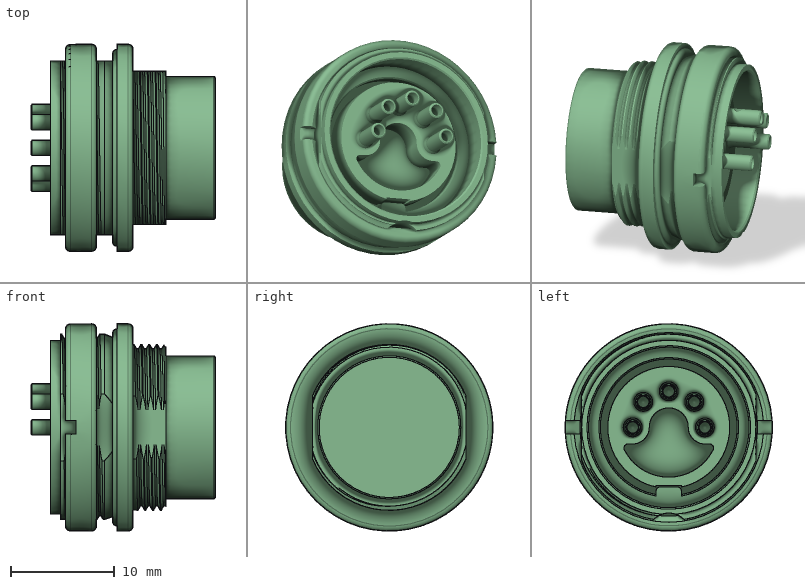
import cadquery as cq
import math


rim_start = 1.85
large_thread_start = 2.85
nut_start = 3.32
nut_end = 6.32
taper_start = 7.08
gasket_start = 7.88
flange_start = 8.3
flange_end = 9.85
small_thread_end = 13.0
sleeve_end = 17.8

outer_radius = 10.0
rim_radius = 8.4
large_thread_radius = 9.0
taper_end_radius = 8.7
large_flat = rim_radius
gasket_radius = 9.5
gasket_round = 0.4
flange_round = 0.48
small_thread_radius = 8.0
small_thread_chamfer = 0.25
small_flat = 7.4
keyway_radius = 2.0
keyway_top = -8.25
sleeve_radius = 13.8 / 2
sleeve_chamfer = 0.15

flank_angle = math.radians(30)
pitch = 3 / 4
groove_mouth = pitch * 7 / 8
groove_floor = pitch / 4
groove_depth = (groove_mouth - groove_floor) / 2 / math.tan(flank_angle)
groove_overcut = 0.05
large_groove_start = 2.92
large_groove_turns = 5.25
large_groove_angle = -90
small_groove_start = 10.08
small_groove_turns = 4.5
small_groove_angle = 0

nut_round = 0.5
nut_bore_radius = 8.55
nut_mouth_radius = 18.3 / 2
notch_width = 1.3
notch_depth = 1.0

bore_radius = 15.5 / 2
bore_chamfer = 0.15
step_x = 5.4
inner_bore_radius = 6.6
gap_floor_x = 6.8
insert_radius = 5.88
insert_face_x = 4.0
key_width = 2.45
key_top = -5.75
key_slot_top = -5.6
key_round = 0.4

pin_circle_radius = 3.48
pin_angles = [0, 45, 90, 135, 180]
pin_radius = 1.5 / 2
pin_tip_chamfer = 0.12
pin_base_radius = 1.82 / 2
pin_base_length = 0.4
pin_hole_radius = 1.1 / 2
pin_hole_depth = 2.8
pin_hole_point = 0.32
cross_hole_radius = 0.8 / 2
cross_hole_x = 2.3

recess_depth = 3.0
recess_radius = 4.8
recess_corner_radius = 0.4
recess_pin_wall = 1.6
recess_lobe_radius = pin_circle_radius - recess_pin_wall


def cylinder(start, end, radius):
    """Solid cylinder on the X axis between two stations."""
    return cq.Workplane("YZ", origin=(start, 0, 0)).circle(radius).extrude(end - start)


def revolved(points):
    """Solid turned about the X axis from (x, radius) points."""
    return cq.Workplane("XY").polyline(points).close().revolve(360, (0, 0, 0), (1, 0, 0))


def block(start, end, width, bottom, top):
    """Box between two stations, centred on Y, from a bottom level to a top level."""
    box = cq.Workplane("XY").box(end - start, width, top - bottom, centered=(False, True, False))
    return box.translate((start, 0, bottom))


def between_flats(start, end, half_width):
    """Block that trims a turned length to two side flats."""
    return block(start, end, 2 * half_width, -outer_radius, outer_radius)


def thread_groove(start, turns, start_angle, crest_radius):
    """Right-hand helical groove that starts at an angle measured from +Y towards +Z."""
    widening = groove_overcut * math.tan(flank_angle)
    root_radius = crest_radius - groove_depth
    top_radius = crest_radius + groove_overcut
    helix = cq.Wire.makeHelix(pitch, pitch * turns, crest_radius)
    profile = cq.Workplane("XZ").polyline([
        (root_radius, -groove_floor / 2),
        (top_radius, -groove_mouth / 2 - widening),
        (top_radius, groove_mouth / 2 + widening),
        (root_radius, groove_floor / 2),
    ]).close()
    groove = profile.sweep(cq.Workplane(obj=helix), isFrenet=True)
    groove = groove.rotate((0, 0, 0), (0, 1, 0), 90)
    groove = groove.rotate((0, 0, 0), (1, 0, 0), 90 + start_angle)
    return groove.translate((start, 0, 0))


def make_keyway():
    """Round-topped groove along the bottom of the rim and the large thread."""
    keyway = cylinder(rim_start, gasket_start, keyway_radius)
    return keyway.translate((0, 0, keyway_top - keyway_radius))


def make_body():
    """Turned outside of the connector: rim, both threads, gasket, flange and sleeve."""
    rim = cylinder(rim_start, large_thread_start, rim_radius)

    large = revolved([
        (large_thread_start, 0),
        (large_thread_start, large_thread_radius),
        (taper_start, large_thread_radius),
        (gasket_start, taper_end_radius),
        (gasket_start, 0),
    ])
    large = large.cut(
        thread_groove(large_groove_start, large_groove_turns, large_groove_angle, large_thread_radius))
    large = large.intersect(between_flats(large_thread_start, gasket_start, large_flat))

    gasket = cylinder(gasket_start, flange_start, gasket_radius).faces("<X").edges().fillet(gasket_round)
    flange = cylinder(flange_start, flange_end, outer_radius).faces(">X").edges().fillet(flange_round)

    blank_end = small_thread_end + 3 * pitch
    small = cylinder(flange_end, blank_end, small_thread_radius)
    small = small.cut(
        thread_groove(small_groove_start, small_groove_turns, small_groove_angle, small_thread_radius))
    envelope = cylinder(flange_end, small_thread_end, small_thread_radius)
    small = small.intersect(envelope.faces(">X").edges().chamfer(small_thread_chamfer))
    small = small.intersect(between_flats(flange_end, small_thread_end, small_flat))

    sleeve = cylinder(small_thread_end, sleeve_end, sleeve_radius)
    sleeve = sleeve.faces(">X").edges().chamfer(sleeve_chamfer)
    front = rim.union(large).cut(make_keyway())
    return front.union(gasket).union(flange).union(small).union(sleeve)


def make_nut():
    """Rounded ring nut with a conical mouth and a notch on each side."""
    nut = cylinder(nut_start, nut_end, outer_radius).edges().fillet(nut_round)
    mouth_depth = nut_mouth_radius - nut_bore_radius
    nut = nut.cut(revolved([
        (nut_start, 0),
        (nut_start, nut_mouth_radius),
        (nut_start + mouth_depth, nut_bore_radius),
        (nut_end, nut_bore_radius),
        (nut_end, 0),
    ]))
    half_notch = notch_width / 2
    notches = block(nut_start, nut_start + notch_depth, 2 * outer_radius, -half_notch, half_notch)
    return nut.cut(notches)


def make_socket():
    """Empty space inside the rim, down to the floor around the insert."""
    return revolved([
        (rim_start, 0),
        (rim_start, bore_radius + bore_chamfer),
        (rim_start + bore_chamfer, bore_radius),
        (step_x, bore_radius),
        (step_x, inner_bore_radius + bore_chamfer),
        (step_x + bore_chamfer, inner_bore_radius),
        (gap_floor_x, inner_bore_radius),
        (gap_floor_x, 0),
    ])


def make_key_slot():
    """Flat-topped slot at the bottom of the insert, which receives the key."""
    return block(insert_face_x, gap_floor_x, key_width, -insert_radius, key_slot_top)


def make_key():
    """Key that rises from the socket wall into the bottom of the insert."""
    key = block(step_x, gap_floor_x, key_width, -bore_radius, key_top)
    return key.faces(">Z").edges("|X").fillet(key_round)


def make_recess():
    """Mushroom-shaped recess: the lower part of a disc plus a lobe that clears the two side pins."""
    floor_x = insert_face_x + recess_depth
    reach = pin_circle_radius
    cap = cylinder(insert_face_x, floor_x, recess_radius)
    cap = cap.cut(block(insert_face_x, floor_x, 2 * recess_radius, -recess_pin_wall, recess_radius))
    cap = cap.edges("|X").fillet(recess_corner_radius)

    neck = block(insert_face_x, floor_x, 2 * reach, -recess_pin_wall, 0)
    for side in (-1, 1):
        neck = neck.cut(cylinder(insert_face_x, floor_x, recess_pin_wall).translate((0, side * reach, 0)))
    lobe = cylinder(insert_face_x, floor_x, recess_lobe_radius)
    return cap.union(neck).union(lobe)


def make_pin(angle):
    """Contact pin with a drilled tip and a flared base, at an angle from +Y towards +Z."""
    y = pin_circle_radius * math.cos(math.radians(angle))
    z = pin_circle_radius * math.sin(math.radians(angle))
    pin = revolved([
        (0, pin_hole_radius),
        (0, pin_radius - pin_tip_chamfer),
        (pin_tip_chamfer, pin_radius),
        (insert_face_x - pin_base_length, pin_radius),
        (insert_face_x, pin_base_radius),
        (insert_face_x, 0),
        (pin_hole_depth + pin_hole_point, 0),
        (pin_hole_depth, pin_hole_radius),
    ])
    return pin.translate((0, y, z))


def make_cross_hole():
    """Hole from above into the bore of the top pin."""
    hole = cq.Workplane("XY", origin=(cross_hole_x, 0, pin_circle_radius))
    return hole.circle(cross_hole_radius).extrude(2 * pin_radius)


result = make_body().union(make_nut()).cut(make_socket())
result = result.union(cylinder(insert_face_x, gap_floor_x, insert_radius))
result = result.cut(make_recess()).cut(make_key_slot())
result = result.union(make_key())
for pin_angle in pin_angles:
    result = result.union(make_pin(pin_angle))
result = result.cut(make_cross_hole())